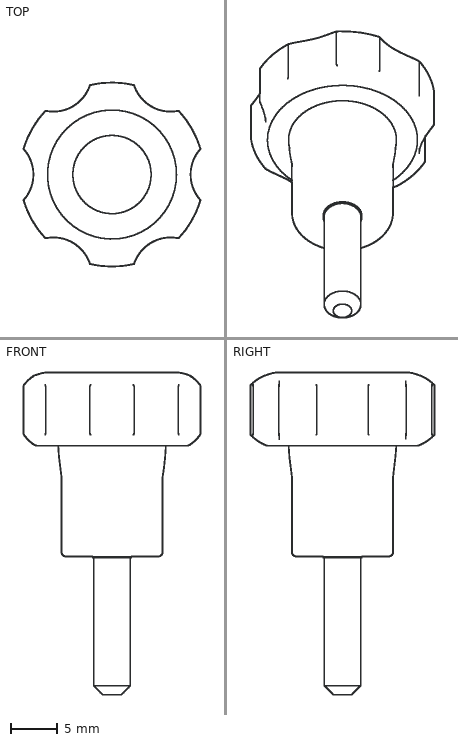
import cadquery as cq
import math

top_height = 20.0
knob_height = 8.0
knob_bottom = top_height - knob_height
neck_start = 8.6

knob_radius = 10.0
lip_outer_radius = 7.14
lip_inner_radius = 7.0
crown_drop = 1.39
crown_bulge = 0.27
underside_radius = 8.15
underside_rise = 1.22
underside_bulge = 0.13
edge_round = 0.2

dish_floor_radius = 4.25
dish_depth = 1.95
dish_bulge = 0.1

scallop_count = 6
scallop_floor_radius = 8.54
scallop_radius = 4.15

hub_radius = 5.5
neck_top_radius = 5.86
neck_hollow = 0.05
hub_round = 0.5

pin_radius = 2.0
pin_length = 15.0
pin_chamfer = 1.0
collar_radius = 2.1
collar_height = 0.15


def arc_middle(start, end, bulge):
    """Middle point of an arc that bulges to the left of its start-to-end chord."""
    run = end[0] - start[0]
    rise = end[1] - start[1]
    chord = math.hypot(run, rise)
    middle_r = (start[0] + end[0]) / 2 - bulge * rise / chord
    middle_z = (start[1] + end[1]) / 2 + bulge * run / chord
    return (middle_r, middle_z)


def revolve_about_z(profile):
    """Solid of revolution about Z from a closed half profile in the XZ plane."""
    return profile.close().revolve(360, (0, 0, 0), (0, 1, 0))


def make_knob_blank():
    """Round head with a domed crown, a curved underside and a dished top."""
    underside_edge = (underside_radius, knob_bottom)
    lower_corner = (knob_radius, knob_bottom + underside_rise)
    upper_corner = (knob_radius, top_height - crown_drop)
    lip_outer = (lip_outer_radius, top_height)
    lip_inner = (lip_inner_radius, top_height)
    dish_edge = (dish_floor_radius, top_height - dish_depth)
    profile = (
        cq.Workplane("XZ")
        .moveTo(0, knob_bottom)
        .lineTo(*underside_edge)
        .threePointArc(arc_middle(underside_edge, lower_corner, -underside_bulge), lower_corner)
        .lineTo(*upper_corner)
        .threePointArc(arc_middle(upper_corner, lip_outer, -crown_bulge), lip_outer)
        .lineTo(*lip_inner)
        .threePointArc(arc_middle(lip_inner, dish_edge, dish_bulge), dish_edge)
        .lineTo(0, top_height - dish_depth)
    )
    return revolve_about_z(profile)


def make_knob():
    """Scalloped head with the grip outline rounded along the crown and the underside."""
    scallops = (
        cq.Workplane("XY", origin=(0, 0, knob_bottom))
        .polarArray(scallop_floor_radius + scallop_radius, 0, 360, scallop_count)
        .circle(scallop_radius)
        .extrude(knob_height)
    )
    knob = make_knob_blank().cut(scallops)

    return knob.faces("%CYLINDER").edges("not |Z").fillet(edge_round)


def make_hub():
    """Cylindrical hub with a rounded foot and a neck flaring up to the knob."""
    neck_base = (hub_radius, neck_start)
    neck_top = (neck_top_radius, knob_bottom)
    profile = (
        cq.Workplane("XZ")
        .lineTo(hub_radius - hub_round, 0)
        .radiusArc((hub_radius, hub_round), -hub_round)
        .lineTo(*neck_base)
        .threePointArc(arc_middle(neck_base, neck_top, -neck_hollow), neck_top)
        .lineTo(0, knob_bottom)
    )
    return revolve_about_z(profile)


def make_pin():
    """Pin with a chamfered tip and a low collar against the hub."""
    collar = cq.Workplane("XY").circle(collar_radius).extrude(-collar_height)
    pin = cq.Workplane("XY").circle(pin_radius).extrude(-pin_length)
    return pin.faces("<Z").chamfer(pin_chamfer).union(collar)


result = make_knob().union(make_hub()).union(make_pin())